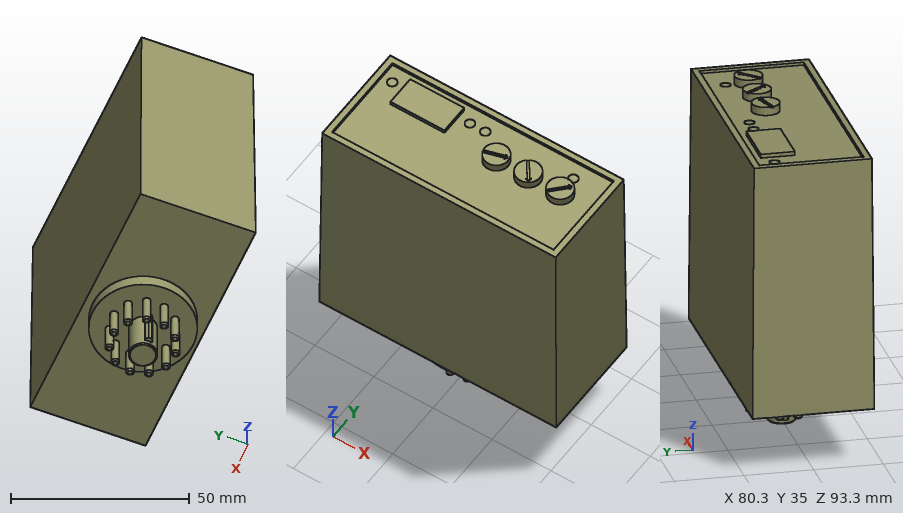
import cadquery as cq
import math

TOTAL_HEIGHT = 93.3

BASE_LENGTH = 80.3
BASE_WIDTH = 35.0
PLATE_HEIGHT = 3.2
HOUSING_HEIGHT = 75.0
TOP_INSET = 0.6

PANEL_LENGTH = 75.1
PANEL_WIDTH = 29.95
PANEL_DEPTH = 0.8
PANEL_Z = HOUSING_HEIGHT - PANEL_DEPTH

DISPLAY_LENGTH = 18.3
DISPLAY_WIDTH = 9.8
DISPLAY_CENTER = (-20.9, 7.9)
DISPLAY_RISE = 0.3
DISPLAY_HEIGHT = PANEL_DEPTH + DISPLAY_RISE

LAMP_RADIUS = 1.5
LAMP_HEIGHT = 0.1
LAMP_XS = (-34.1, -7.7, -2.5, 27.3)
LAMP_Y = 9.8

KNOB_RADIUS = 4.0
KNOB_RISE = 1.6
KNOB_HEIGHT = PANEL_DEPTH + KNOB_RISE
KNOB_FIRST_X = 5.7
KNOB_PITCH = 10.8
KNOB_Y = 3.3
KNOB_ANGLES = (16, -54, 46)
ARROW_TIP = 3.4
ARROW_HEAD = 0.7
ARROW_SHAFT_WIDTH = 0.7
ARROW_DEPTH = 0.3

PLUG_RADIUS = 15.2
PLUG_HEIGHT = 3.9
PIN_COUNT = 11
PIN_RING_RADIUS = 9.4
PIN_DIAMETER = 2.3
PIN_LENGTH = 9.1
PIN_CHAMFER = 0.5
POST_RADIUS = 4.0
POST_LENGTH = TOTAL_HEIGHT - HOUSING_HEIGHT - KNOB_RISE - PLUG_HEIGHT
POST_CHAMFER = 0.4
KEY_REACH = 5.1
KEY_WIDTH = 2.2
KEY_LENGTH = 11.1
KEY_CHAMFER = 0.65


def make_housing():
    """Base plate, tapered case and the panel recess in its top."""
    plate = cq.Workplane("XY").box(BASE_LENGTH, BASE_WIDTH, PLATE_HEIGHT, centered=(True, True, False))
    case = (
        cq.Workplane("XY", origin=(0, 0, PLATE_HEIGHT))
        .rect(BASE_LENGTH, BASE_WIDTH)
        .workplane(offset=HOUSING_HEIGHT - PLATE_HEIGHT)
        .rect(BASE_LENGTH - 2 * TOP_INSET, BASE_WIDTH - 2 * TOP_INSET)
        .loft(ruled=True)
    )
    recess = (
        cq.Workplane("XY", origin=(0, 0, PANEL_Z))
        .rect(PANEL_LENGTH, PANEL_WIDTH)
        .extrude(PANEL_DEPTH)
    )
    return plate.union(case).cut(recess)


def make_display():
    center_x, center_y = DISPLAY_CENTER
    return (
        cq.Workplane("XY", origin=(center_x, center_y, PANEL_Z))
        .rect(DISPLAY_LENGTH, DISPLAY_WIDTH)
        .extrude(DISPLAY_HEIGHT)
    )


def make_lamps():
    centers = [(x, LAMP_Y) for x in LAMP_XS]
    return (
        cq.Workplane("XY", origin=(0, 0, PANEL_Z))
        .pushPoints(centers)
        .circle(LAMP_RADIUS)
        .extrude(LAMP_HEIGHT)
    )


def make_knob(x, angle):
    """Knob whose arrow runs from the rim through the centre, pointing along the given angle."""
    half_shaft = ARROW_SHAFT_WIDTH / 2
    neck = ARROW_TIP - ARROW_HEAD
    arrow = (
        cq.Workplane("XY", origin=(0, 0, KNOB_HEIGHT - ARROW_DEPTH))
        .polyline([
            (-KNOB_RADIUS, -half_shaft),
            (neck, -half_shaft),
            (neck, -ARROW_HEAD),
            (ARROW_TIP, 0),
            (neck, ARROW_HEAD),
            (neck, half_shaft),
            (-KNOB_RADIUS, half_shaft),
        ])
        .close()
        .extrude(ARROW_DEPTH)
    )
    knob = cq.Workplane("XY").circle(KNOB_RADIUS).extrude(KNOB_HEIGHT).cut(arrow)
    return knob.rotate((0, 0, 0), (0, 0, 1), angle).translate((x, KNOB_Y, PANEL_Z))


def make_peg(radius, length, chamfer):
    """Round peg hanging from the plug underside with a chamfered tip."""
    return cq.Workplane("XY").circle(radius).extrude(-length).faces("<Z").chamfer(chamfer)


def make_plug():
    plug = cq.Workplane("XY").circle(PLUG_RADIUS).extrude(-PLUG_HEIGHT)
    pin = make_peg(PIN_DIAMETER / 2, PIN_LENGTH, PIN_CHAMFER)
    for index in range(PIN_COUNT):
        angle = 2 * math.pi * index / PIN_COUNT
        x = PIN_RING_RADIUS * math.cos(angle)
        y = PIN_RING_RADIUS * math.sin(angle)
        plug = plug.union(pin.translate((x, y, -PLUG_HEIGHT)))
    post = make_peg(POST_RADIUS, POST_LENGTH, POST_CHAMFER)
    key = (
        cq.Workplane("XY")
        .center(-KEY_REACH / 2, 0)
        .rect(KEY_REACH, KEY_WIDTH)
        .extrude(-KEY_LENGTH)
        .edges("|Z and <X")
        .chamfer(KEY_CHAMFER)
    )
    return plug.union(post.union(key).translate((0, 0, -PLUG_HEIGHT)))


result = make_housing().union(make_display()).union(make_lamps()).union(make_plug())
for knob_index, knob_angle in enumerate(KNOB_ANGLES):
    result = result.union(make_knob(KNOB_FIRST_X + knob_index * KNOB_PITCH, knob_angle))